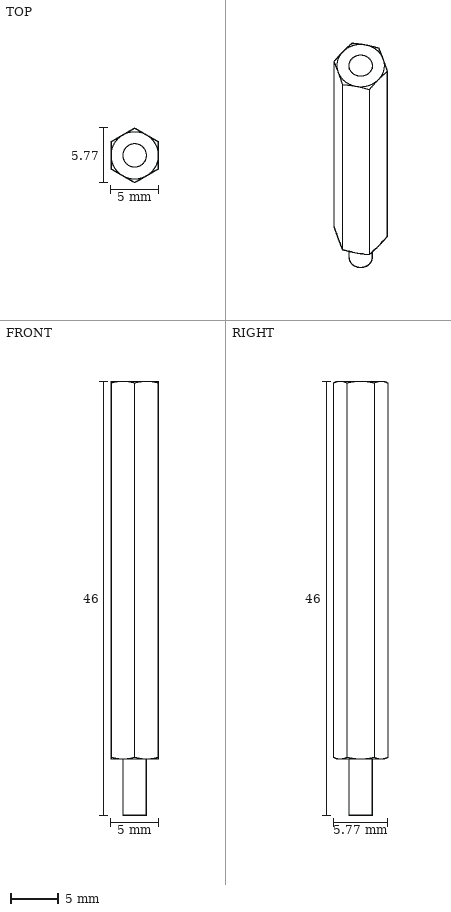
import cadquery as cq
import math

total_length = 46.0
stud_length = 6.0
across_flats = 5.0
stud_diameter = 2.5

chamfer_slope = 25.0

sleeve_length = total_length - stud_length
socket_depth = stud_length
stud_radius = stud_diameter / 2
end_face_radius = across_flats / 2
corner_radius = end_face_radius / math.cos(math.radians(30))
corner_drop = (corner_radius - end_face_radius) * math.tan(math.radians(chamfer_slope))


def make_turned_envelope():
    """Cylinder with coned ends that trims the corners of the hexagon."""
    profile = [
        (0, 0),
        (end_face_radius, 0),
        (corner_radius, corner_drop),
        (corner_radius, sleeve_length - corner_drop),
        (end_face_radius, sleeve_length),
        (0, sleeve_length),
    ]
    return cq.Workplane("XZ").polyline(profile).close().revolve(360, (0, 0), (0, 1))


def make_sleeve():
    """Hexagonal spacer with two flats facing +X and -X and a socket in its top."""
    hexagon = (
        cq.Workplane("XY")
        .transformed(rotate=(0, 0, 90))
        .polygon(6, 2 * corner_radius)
        .extrude(sleeve_length)
    )
    socket = (
        cq.Workplane("XY", origin=(0, 0, sleeve_length))
        .circle(stud_radius)
        .extrude(-socket_depth)
    )
    return hexagon.intersect(make_turned_envelope()).cut(socket)


def make_stud():
    """Plain round stud that meets the bottom face of the sleeve."""
    return cq.Workplane("XY").circle(stud_radius).extrude(-stud_length)


sleeve = make_sleeve()
stud = make_stud()

result = cq.Compound.makeCompound([sleeve.val(), stud.val()])